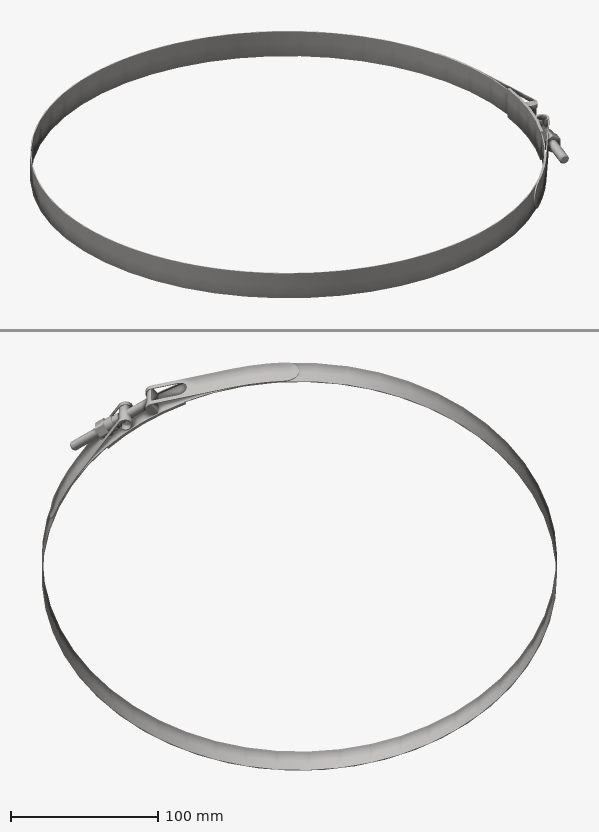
import cadquery as cq
import math

band_radius = 174.61
band_thickness = 0.7
band_width = 19.05
strap_tip_x = 106.0

bolt_axis_y = 178.72
bolt_radius = 3.4
bolt_end_x = 57.2
bolt_chamfer = 1.0

loop_radius = 4.5
head_flat_offset = 1.3
saddle_wall = 0.9
saddle_flat_offset = 3.5

slot_tip_x = 37.0
slot_width = 12.6
slot_below_axis = 4.0

bridge_half_length = 33.0
bridge_width = 22.0
bridge_channel_width = 20.4
bridge_inner_radius = 173.2
bridge_rim_radius = 175.2

spacer_nose_radius = 4.5
spacer_collar_radius = 5.3
spacer_collar_x = 20.4
nut_x = 26.4
nut_end_x = 33.6
nut_across_flats = 11.12

band_inner_radius = band_radius - band_thickness
loop_outer_radius = loop_radius + band_thickness
fold_radius = band_radius + band_thickness

loop_centre_distance = band_radius + loop_radius
loop_centre_x = math.sqrt(loop_centre_distance**2 - bolt_axis_y**2)
loop_angle = math.asin(loop_centre_x / loop_centre_distance)

tangent_angle = loop_angle + math.acos((band_radius - loop_radius) / loop_centre_distance)
tip_angle = math.asin(strap_tip_x / fold_radius)


def ring_point(radius, angle):
    """Point on a circle about the clamp axis, on the +X side, angle from +Y."""
    return (radius * math.sin(angle), radius * math.cos(angle))


def loop_point(radius, angle):
    """Point on a circle about the +X loop centre, angle from +Y towards +X."""
    return (
        loop_centre_x + radius * math.sin(angle),
        bolt_axis_y + radius * math.cos(angle),
    )


def mirrored(point):
    return (-point[0], point[1])


def mid_z_extrude(profile, width):
    return profile.extrude(width / 2, both=True)


def strap_fold():
    """Loop and folded-back strap on the +X side, with a full-round tip."""
    contact_angle = loop_angle + math.pi
    loop_mid_angle = (contact_angle + tangent_angle + 2 * math.pi) / 2
    lay_mid_angle = (tangent_angle + tip_angle) / 2
    profile = (
        cq.Workplane("XY")
        .moveTo(*loop_point(loop_outer_radius, contact_angle))
        .threePointArc(
            loop_point(loop_outer_radius, loop_mid_angle),
            loop_point(loop_outer_radius, tangent_angle),
        )
        .lineTo(*ring_point(fold_radius, tangent_angle))
        .threePointArc(ring_point(fold_radius, lay_mid_angle), ring_point(fold_radius, tip_angle))
        .lineTo(*ring_point(band_radius, tip_angle))
        .threePointArc(ring_point(band_radius, lay_mid_angle), ring_point(band_radius, tangent_angle))
        .lineTo(*loop_point(loop_radius, tangent_angle))
        .threePointArc(
            loop_point(loop_radius, loop_mid_angle),
            loop_point(loop_radius, contact_angle),
        )
        .close()
    )
    return mid_z_extrude(profile, band_width).cut(tip_trim())


def tip_trim():
    """Material removed around the full-round strap tip."""
    half_width = band_width / 2
    tip_plane = cq.Plane(
        origin=(*ring_point(band_radius, tip_angle), 0),
        xDir=(math.cos(tip_angle), -math.sin(tip_angle), 0),
        normal=(math.sin(tip_angle), math.cos(tip_angle), 0),
    )
    block = (
        cq.Workplane(tip_plane)
        .moveTo(0, half_width)
        .lineTo(-half_width, half_width)
        .threePointArc((0, 0), (-half_width, -half_width))
        .lineTo(0, -half_width)
        .close()
        .extrude(band_thickness * 2, both=True)
    )
    ring_stock = cq.Workplane("XY").circle(band_radius).extrude(half_width, both=True)
    return block.cut(ring_stock)


def strap_slot():
    """Round-ended slot along the straight strap and around the +X loop."""
    sine = math.sin(tangent_angle)
    cosine = math.cos(tangent_angle)
    tip_y = (fold_radius - slot_tip_x * sine) / cosine
    slope_plane = cq.Plane(
        origin=(slot_tip_x, tip_y, 0),
        xDir=(-cosine, sine, 0),
        normal=(sine, cosine, 0),
    )
    loop_start_x = loop_point(loop_radius, tangent_angle)[0]
    length = (slot_tip_x - loop_start_x) / cosine
    along_strap = (
        cq.Workplane(slope_plane)
        .moveTo(length, -slot_width / 2)
        .lineTo(slot_width / 2, -slot_width / 2)
        .threePointArc((0, 0), (slot_width / 2, slot_width / 2))
        .lineTo(length, slot_width / 2)
        .close()
        .extrude(band_thickness * 2, both=True)
    )
    around_loop = (
        cq.Workplane("XY", origin=(0, bolt_axis_y - slot_below_axis, 0))
        .box(
            loop_start_x,
            slot_below_axis + loop_outer_radius,
            slot_width,
            centered=(False, False, True),
        )
    )
    return along_strap.union(around_loop)


def make_band():
    contact = ring_point(band_radius, loop_angle)
    contact_inner = ring_point(band_inner_radius, loop_angle)
    ring = mid_z_extrude(
        cq.Workplane("XY")
        .moveTo(*contact)
        .threePointArc((0, -band_radius), mirrored(contact))
        .lineTo(*mirrored(contact_inner))
        .threePointArc((0, -band_inner_radius), contact_inner)
        .close(),
        band_width,
    )
    nut_fold = strap_fold().cut(strap_slot())
    head_fold = nut_fold.mirror("YZ")
    return ring.union(nut_fold).union(head_fold)


def make_bridge():
    ring = (
        cq.Workplane("XY")
        .circle(bridge_rim_radius)
        .circle(bridge_inner_radius)
        .extrude(bridge_width / 2, both=True)
    )
    channel = (
        cq.Workplane("XY")
        .circle(bridge_rim_radius)
        .circle(band_inner_radius)
        .extrude(bridge_channel_width / 2, both=True)
    )
    span = cq.Workplane("XY").box(
        2 * bridge_half_length, bridge_rim_radius, bridge_width, centered=(True, False, True)
    )
    return ring.cut(channel).intersect(span)


def axial_plane(x):
    """Workplane across the bolt, its local x along Z."""
    return cq.Workplane(cq.Plane(origin=(x, bolt_axis_y, 0), xDir=(0, 0, 1), normal=(1, 0, 0)))


def flatted_bar(centre_x, flat_offset):
    """Round bar along Z whose outboard side is cut flat."""
    side = math.copysign(1, centre_x)
    profile = cq.Workplane("XY").center(centre_x, bolt_axis_y).circle(loop_radius)
    bar = mid_z_extrude(profile, band_width)
    keep = cq.Workplane("XY").box(2 * loop_radius, 2 * loop_radius, band_width)
    keep_x = centre_x + side * (flat_offset - loop_radius)
    return bar.intersect(keep.translate((keep_x, bolt_axis_y, 0)))


def make_bolt():
    shank = (
        axial_plane(-loop_centre_x)
        .circle(bolt_radius)
        .extrude(bolt_end_x + loop_centre_x)
        .faces(">X")
        .chamfer(bolt_chamfer)
    )
    return flatted_bar(-loop_centre_x, head_flat_offset).union(shank)


def make_saddle():
    bore_profile = cq.Workplane("XY").center(loop_centre_x, bolt_axis_y).circle(loop_radius - saddle_wall)
    bore = mid_z_extrude(bore_profile, band_width)
    bolt_hole = axial_plane(0).circle(bolt_radius).extrude(bolt_end_x)
    return flatted_bar(loop_centre_x, saddle_flat_offset).cut(bore).cut(bolt_hole)


def make_spacer():
    nose_x = loop_centre_x + saddle_flat_offset
    nose = (
        axial_plane(nose_x)
        .circle(spacer_nose_radius)
        .circle(bolt_radius)
        .extrude(spacer_collar_x - nose_x)
    )
    collar = (
        axial_plane(spacer_collar_x)
        .circle(spacer_collar_radius)
        .circle(bolt_radius)
        .extrude(nut_x - spacer_collar_x)
    )
    return nose.union(collar)


def make_nut():
    across_corners = nut_across_flats / math.cos(math.pi / 6)
    return (
        axial_plane(nut_x)
        .polygon(6, across_corners)
        .circle(bolt_radius)
        .extrude(nut_end_x - nut_x)
    )


band = make_band().solids()
bridge = make_bridge().solids()
bolt = make_bolt().solids()
saddle = make_saddle().solids()
spacer = make_spacer().solids()
nut = make_nut().solids()

result = cq.Compound.makeCompound(
    [band.val(), bridge.val(), bolt.val(), saddle.val(), spacer.val(), nut.val()]
)